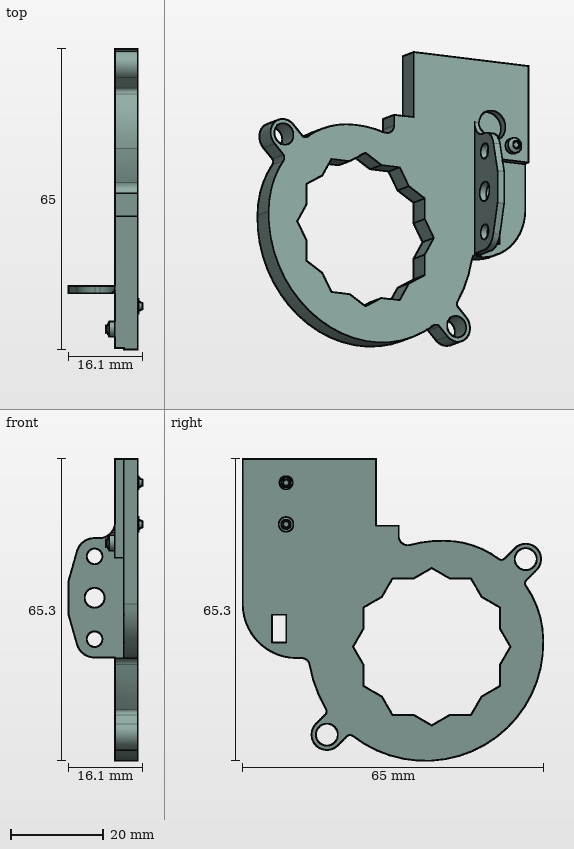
import cadquery as cq
import math


plate_thickness = 5.0
plate_top = 40.65
plate_edge = -40.9
corner_radius = 11.75
shoulder_z = -2.5
notch_y, notch_z = -7.1, 26.2
block_y = -12.0
notch_fillet = 1.95
shoulder_fillet = 1.65

top_arc_start = (15.35, 18.3)
top_arc_mid = (8.8, 21.95)
top_arc_peak = (2.6, 22.95)
notch_arc_mid = (-1.95, 22.6)
notch_arc_end = (notch_y, 21.25)
right_arc_start = (-26.65, shoulder_z)
right_arc_mid = (-25.2, -8.5)
right_arc_end = (-22.2, -14.6)
scroll_center = (-1.4, 0.82)
scroll_radius = 25.52
scroll_start_angle = -130.0
scroll_end_angle = 1.5
left_arc_mid = (23.2, 7.45)
left_arc_end = (19.9, 13.85)

lugs = [((20.3, 18.95), 225), ((-22.7, -19.0), 45)]
lug_radius = 3.35
lug_hole_diameter = 4.7
lug_neck_length = 9.8
lug_fillet = 1.0
scroll_lug_corner = (-17.2, -19.35)

star_diameter = 34.0

relief_depth = 1.95
relief_top = 19.3
rim_width = 0.3

slot_width, slot_height = 3.0, 5.95
slot_center = (-33.0, 3.9)

bracket_near_y, bracket_far_y = -28.75, -27.1
bracket_reach = 10.05
bracket_mid_z = 10.6
bracket_flat = 7.05
bracket_hole_x = -4.4
bracket_hole_pitch = 8.95
bracket_end_radius = 4.0
bracket_fillet = 3.3
bracket_hole_diameter = 3.35
bracket_center_hole_diameter = 4.25

pocket_center = (-31.5, 26.5)
pocket_diameter = 6.6
pocket_depth = 1.95
left_pin_center = (-36.5, 22.4)
left_pin_diameter = 3.35
left_pin_shoulder = 1.2
left_pin_neck_diameter = 1.3
left_pin_neck = 1.7
left_pin_tip_diameter = 1.75
left_pin_length = 1.95
right_pin_base_thickness = 0.2
right_pin_length = 1.05
right_pin_root_diameter = 2.1
right_pin_tip_diameter = 1.3
right_pins = [(35.5, 2.9), (pocket_center[1], 3.2)]


def point_on_circle(center, radius, degrees):
    angle = math.radians(degrees)
    return (center[0] + radius * math.cos(angle), center[1] + radius * math.sin(angle))


def cylinder_x(center, diameter, x_start, length):
    plane = cq.Workplane("YZ", origin=(x_start, 0, 0))
    return plane.center(*center).circle(diameter / 2).extrude(length)


def fillet_at(body, point, radius):
    """Round the X-parallel edge nearest to a (Y, Z) point."""
    edge = cq.selectors.NearestToPointSelector((plate_thickness / 2, *point))
    return body.edges("|X").edges(edge).fillet(radius)


def make_housing():
    scroll_mid_angle = (scroll_start_angle + scroll_end_angle) / 2
    scroll_start, scroll_mid, scroll_end = [
        point_on_circle(scroll_center, scroll_radius, angle)
        for angle in (scroll_start_angle, scroll_mid_angle, scroll_end_angle)
    ]
    corner_center = (plate_edge + corner_radius, shoulder_z + corner_radius)
    outline = (
        cq.Workplane("YZ")
        .moveTo(*top_arc_start)
        .threePointArc(top_arc_mid, top_arc_peak)
        .threePointArc(notch_arc_mid, notch_arc_end)
        .lineTo(notch_y, notch_z)
        .lineTo(block_y, notch_z)
        .lineTo(block_y, plate_top)
        .lineTo(plate_edge, plate_top)
        .lineTo(plate_edge, corner_center[1])
        .threePointArc(
            point_on_circle(corner_center, corner_radius, 225),
            (corner_center[0], shoulder_z),
        )
        .lineTo(*right_arc_start)
        .threePointArc(right_arc_mid, right_arc_end)
        .lineTo(*scroll_start)
        .threePointArc(scroll_mid, scroll_end)
        .threePointArc(left_arc_mid, left_arc_end)
        .close()
    )
    housing = outline.extrude(plate_thickness)
    housing = fillet_at(housing, notch_arc_end, notch_fillet)
    return fillet_at(housing, right_arc_start, shoulder_fillet)


def add_lugs(body):
    for center, inward in lugs:
        neck_center = point_on_circle(center, lug_neck_length / 2, inward)
        neck = (
            cq.Workplane("YZ")
            .center(*neck_center)
            .transformed(rotate=(0, 0, inward))
            .rect(lug_neck_length, 2 * lug_radius)
            .extrude(plate_thickness)
        )
        body = body.union(neck).union(cylinder_x(center, 2 * lug_radius, 0, plate_thickness))
    for corner in (top_arc_start, left_arc_end, right_arc_end, scroll_lug_corner):
        body = fillet_at(body, corner, lug_fillet)
    for center, _ in lugs:
        body = body.cut(cylinder_x(center, lug_hole_diameter, 0, plate_thickness))
    return body


def cut_star(body):
    for turn in (0, 30):
        hexagon = cq.Workplane("YZ").polygon(6, star_diameter).extrude(plate_thickness)
        body = body.cut(hexagon.rotate((0, 0, 0), (1, 0, 0), turn))
    return body


def cut_relief(body):
    lower = cq.Workplane("XY").box(
        relief_depth, bracket_near_y - plate_edge, relief_top - shoulder_z, centered=False
    )
    rim = cq.Workplane("XY").box(relief_depth, rim_width, plate_top - shoulder_z, centered=False)
    corner = (0, plate_edge, shoulder_z)
    return body.cut(lower.translate(corner)).cut(rim.translate(corner))


def cut_slot(body):
    slot = cq.Workplane("YZ").center(*slot_center).rect(slot_width, slot_height)
    return body.cut(slot.extrude(plate_thickness))


def make_bracket():
    upper_z = bracket_mid_z + bracket_hole_pitch
    lower_z = bracket_mid_z - bracket_hole_pitch
    top_z = upper_z + bracket_end_radius
    bottom_z = lower_z - bracket_end_radius
    flat_dx = bracket_hole_x + bracket_reach
    flat_dz = bracket_hole_pitch - bracket_flat / 2
    toward_flat = math.degrees(math.atan2(flat_dz, flat_dx))
    half_angle = math.degrees(math.acos(bracket_end_radius / math.hypot(flat_dx, flat_dz)))
    tangent_angle = 180 + toward_flat - half_angle
    upper_center = (bracket_hole_x, upper_z)
    tangent = point_on_circle(upper_center, bracket_end_radius, tangent_angle)
    arc_mid = point_on_circle(upper_center, bracket_end_radius, (90 + tangent_angle) / 2)

    def mirrored(point):
        return (point[0], 2 * bracket_mid_z - point[1])

    fillet_center = (-bracket_fillet, top_z + bracket_fillet)
    flat_top = (-bracket_reach, bracket_mid_z + bracket_flat / 2)
    profile = (
        cq.Workplane("XZ", origin=(0, bracket_far_y, 0))
        .moveTo(relief_depth, bottom_z)
        .lineTo(bracket_hole_x, bottom_z)
        .threePointArc(mirrored(arc_mid), mirrored(tangent))
        .lineTo(*mirrored(flat_top))
        .lineTo(*flat_top)
        .lineTo(*tangent)
        .threePointArc(arc_mid, (bracket_hole_x, top_z))
        .lineTo(-bracket_fillet, top_z)
        .threePointArc(
            point_on_circle(fillet_center, bracket_fillet, -45),
            (0, top_z + bracket_fillet),
        )
        .lineTo(relief_depth, top_z + bracket_fillet)
        .close()
    )
    thickness = bracket_far_y - bracket_near_y
    bracket = profile.extrude(thickness)
    holes = [
        (upper_z, bracket_hole_diameter),
        (bracket_mid_z, bracket_center_hole_diameter),
        (lower_z, bracket_hole_diameter),
    ]
    for z, diameter in holes:
        hole = cq.Workplane("XZ", origin=(bracket_hole_x, bracket_far_y, z)).circle(diameter / 2)
        bracket = bracket.cut(hole.extrude(thickness))
    return bracket


def cut_pocket(body):
    length = bracket_reach + pocket_depth
    return body.cut(cylinder_x(pocket_center, pocket_diameter, -bracket_reach, length))


def turned_pin(profile, center, x_face):
    """Revolve (X, radius) points about an X-parallel axis through a (Y, Z) center."""
    pin = cq.Workplane("XY").polyline(profile).close().revolve(360, (0, 0, 0), (1, 0, 0))
    return pin.translate((x_face, *center))


def make_left_pin():
    profile = [
        (0, 0),
        (0, left_pin_diameter / 2),
        (-left_pin_shoulder, left_pin_diameter / 2),
        (-left_pin_neck, left_pin_neck_diameter / 2),
        (-left_pin_length, left_pin_tip_diameter / 2),
        (-left_pin_length, 0),
    ]
    return turned_pin(profile, left_pin_center, 0)


def make_right_pin(z, base_diameter):
    profile = [
        (0, 0),
        (0, base_diameter / 2),
        (right_pin_base_thickness, base_diameter / 2),
        (right_pin_base_thickness, right_pin_root_diameter / 2),
        (right_pin_length, right_pin_tip_diameter / 2),
        (right_pin_length, 0),
    ]
    return turned_pin(profile, (pocket_center[0], z), plate_thickness)


plate = cut_slot(cut_relief(cut_star(add_lugs(make_housing()))))
result = cut_pocket(plate.union(make_bracket()))
result = result.union(make_left_pin())
for pin_z, pin_base_diameter in right_pins:
    result = result.union(make_right_pin(pin_z, pin_base_diameter))